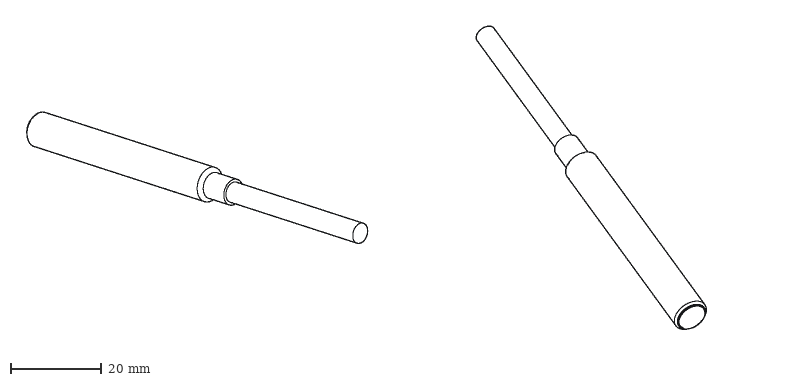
import cadquery as cq

body_diameter = 8.0
face_diameter = 6.5
front_rim_diameter = 7.0
sleeve_diameter = 6.0
cable_diameter = 4.7

face_protrusion = 0.3
front_chamfer_length = (body_diameter - front_rim_diameter) / 2
front_chamfer_end = face_protrusion + front_chamfer_length
rear_chamfer_start = 54.5
rear_chamfer_length = 0.9
rear_chamfer_end = rear_chamfer_start + rear_chamfer_length
sleeve_end = 61.9
cable_length = 40.0
overall_length = sleeve_end + cable_length

recess_position = 42.8
recess_diameter = 3.6
recess_depth = 1.0


def make_turned_part():
    """Sensing face, chamfered body, sleeve and cable as one revolved profile."""
    profile = (
        cq.Workplane("XY")
        .moveTo(0, 0)
        .lineTo(0, face_diameter / 2)
        .lineTo(face_protrusion, face_diameter / 2)
        .lineTo(face_protrusion, front_rim_diameter / 2)
        .lineTo(front_chamfer_end, body_diameter / 2)
        .lineTo(rear_chamfer_start, body_diameter / 2)
        .lineTo(rear_chamfer_end, sleeve_diameter / 2)
        .lineTo(sleeve_end, sleeve_diameter / 2)
        .lineTo(sleeve_end, cable_diameter / 2)
        .lineTo(overall_length, cable_diameter / 2)
        .lineTo(overall_length, 0)
        .close()
    )
    return profile.revolve(360, (0, 0, 0), (1, 0, 0))


def make_recess_tool():
    """Cylinder that enters the body from below, as deep as the recess."""
    return (
        cq.Workplane("XY", origin=(recess_position, 0, -body_diameter / 2))
        .circle(recess_diameter / 2)
        .extrude(recess_depth)
    )


result = make_turned_part().cut(make_recess_tool())